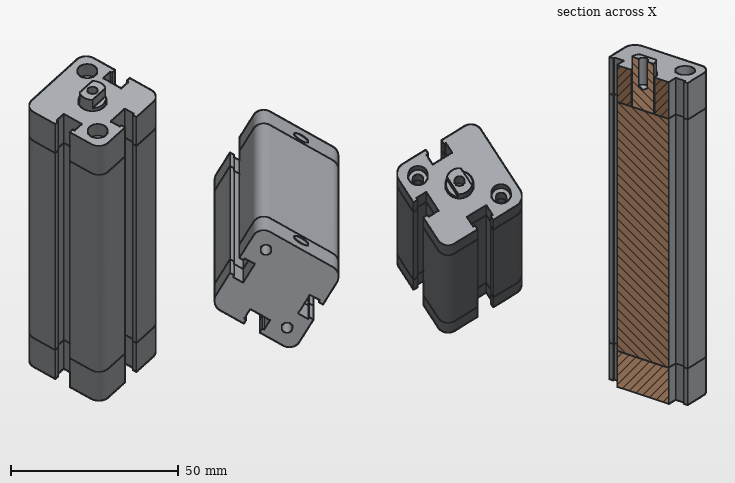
import cadquery as cq
import math

width = 29.0
total_height = 112.5
rod_projection = 4.5
cap_height = 12.3
corner_radius = 3.6
body_height = total_height - rod_projection
tube_height = body_height - 2 * cap_height
top_cap_base = cap_height + tube_height

slot_mouth = 5.5
slot_width = 6.9
slot_depth = 5.0
slot_lip = 1.5
slot_angles = (0, 90, -90)

bolt_offset = 9.0
bolt_points = [(-bolt_offset, bolt_offset), (bolt_offset, -bolt_offset)]
bolt_diameter = 3.3
counterbore_diameter = 6.0
counterbore_depth = 5.0

port_diameter = 5.0
port_from_end = 8.0
port_depth = 0.1

rod_diameter = 8.0
rod_bore_diameter = 8.5
rod_flats = 5.0
shoulder_height = 1.0
thread_hole_diameter = 3.0
thread_hole_depth = 9.0
drill_point_angle = 118.0


def t_slot(height, angle):
    """T-slot cutter for the +X face, turned about Z to the wanted side."""
    face = width / 2
    mouth = cq.Workplane("XY").box(slot_depth, slot_mouth, height, centered=(False, True, False))
    mouth = mouth.translate((face - slot_depth, 0, 0))
    inside = cq.Workplane("XY").box(
        slot_depth - slot_lip, slot_width, height, centered=(False, True, False)
    )
    inside = inside.translate((face - slot_depth, 0, 0))
    return mouth.union(inside).rotate((0, 0, 0), (0, 0, 1), angle)


def profile_block(base, height):
    """Length of the rounded square profile with its T-slots and bolt holes."""
    block = cq.Workplane("XY").rect(width, width).extrude(height)
    block = block.edges("|Z").fillet(corner_radius)
    for angle in slot_angles:
        block = block.cut(t_slot(height, angle))
    bolt_holes = cq.Workplane("XY").pushPoints(bolt_points).circle(bolt_diameter / 2).extrude(height)
    return block.cut(bolt_holes).translate((0, 0, base))


def port(height):
    """Cutter for an air port in the -X face, centred at the given height."""
    start = cq.Workplane("YZ", origin=(-width / 2, 0, height))
    return start.circle(port_diameter / 2).extrude(port_depth)


def make_bottom_cap():
    return profile_block(0, cap_height).cut(port(port_from_end))


def make_tube():
    return profile_block(cap_height, tube_height)


def make_top_cap():
    cap = profile_block(top_cap_base, cap_height).cut(port(body_height - port_from_end))
    rod_bore = cq.Workplane("XY", origin=(0, 0, top_cap_base)).circle(rod_bore_diameter / 2)
    counterbores = cq.Workplane("XY", origin=(0, 0, body_height)).pushPoints(bolt_points)
    counterbores = counterbores.circle(counterbore_diameter / 2).extrude(-counterbore_depth)
    return cap.cut(rod_bore.extrude(cap_height)).cut(counterbores)


def thread_hole():
    """Cutter for the blind hole in the rod end, with a conical drill point."""
    radius = thread_hole_diameter / 2
    point_length = radius / math.tan(math.radians(drill_point_angle / 2))
    floor = total_height - thread_hole_depth
    half_section = cq.Workplane("XZ").polyline([
        (0, total_height),
        (radius, total_height),
        (radius, floor),
        (0, floor - point_length),
    ]).close()
    return half_section.revolve(360, (0, 0, 0), (0, 1, 0))


def make_rod():
    """Rod standing on the tube, with two wrench flats on the projecting end."""
    shoulder = body_height + shoulder_height
    flat_length = total_height - shoulder
    shaft = cq.Workplane("XY", origin=(0, 0, top_cap_base)).circle(rod_diameter / 2)
    shaft = shaft.extrude(shoulder - top_cap_base)
    end = cq.Workplane("XY", origin=(0, 0, shoulder)).circle(rod_diameter / 2).extrude(flat_length)
    flats = cq.Workplane("XY", origin=(0, 0, shoulder)).rect(rod_flats, rod_diameter).extrude(flat_length)
    return shaft.union(end.intersect(flats)).cut(thread_hole())


bottom_cap = make_bottom_cap()
tube = make_tube()
top_cap = make_top_cap()
rod = make_rod()

result = cq.Compound.makeCompound([bottom_cap.val(), tube.val(), top_cap.val(), rod.val()])